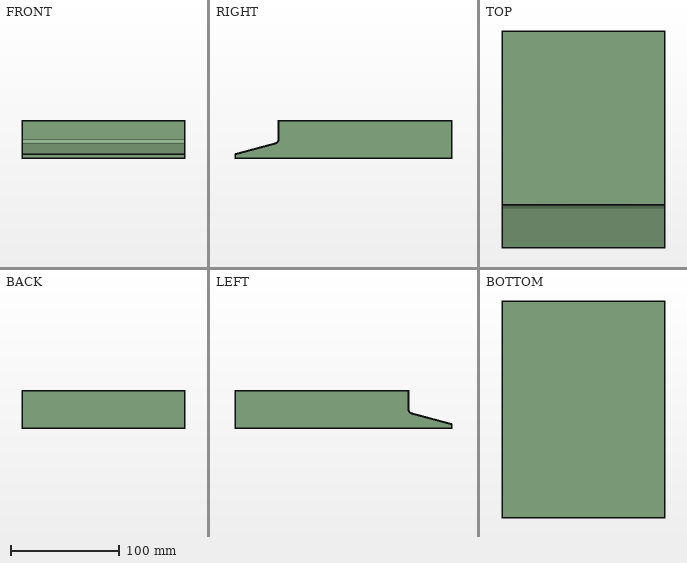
import cadquery as cq
import math

width = 150.0
length = 200.0
height = 35.0

tongue_length = 40.0
tip_height = 4.0
slope_angle = 15.0
root_radius = 4.0

front_y = -length / 2
back_y = length / 2
step_y = front_y + tongue_length
root_z = tip_height + tongue_length * math.tan(math.radians(slope_angle))

profile = (
    cq.Workplane("YZ")
    .moveTo(front_y, 0)
    .lineTo(back_y, 0)
    .lineTo(back_y, height)
    .lineTo(step_y, height)
    .lineTo(step_y, root_z)
    .lineTo(front_y, tip_height)
    .close()
)
block = profile.extrude(width / 2, both=True)

root_edge = cq.selectors.NearestToPointSelector((0, step_y, root_z))
result = block.edges(root_edge).fillet(root_radius)